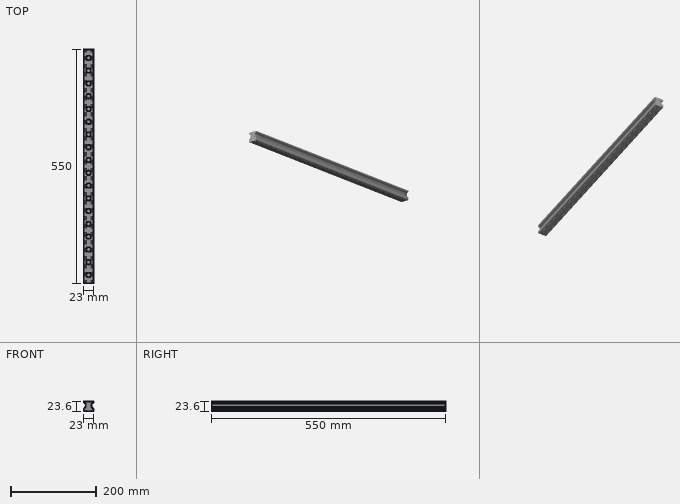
import cadquery as cq

rail_width = 23.0
rail_length = 550.0
rail_height = 23.6
half_width = rail_width / 2

waist_half_width = 6.95
waist_top = 17.5
step_half_width = 9.45
raceway_drop = half_width - step_half_width
base_side_top = 5.65
lower_step_top = 8.6
shoulder_top = lower_step_top + (step_half_width - waist_half_width)
head_side_bottom = 21.3
head_chamfer = 0.3

base_chamfer = 1.5
groove_inner = 5.5
groove_outer = 6.3
groove_depth = 0.7

seat_count = 18
seat_pitch = 30.0
seat_diameter = 11.0
seat_depth = 0.2


def make_rail():
    """Extrude the waisted cross-section along Y, centred on the origin."""
    right_side = [
        (half_width - base_chamfer, 0),
        (half_width, base_chamfer),
        (half_width, base_side_top),
        (step_half_width, base_side_top + raceway_drop),
        (step_half_width, lower_step_top),
        (waist_half_width, shoulder_top),
        (waist_half_width, waist_top),
        (step_half_width, head_side_bottom - raceway_drop),
        (half_width, head_side_bottom),
        (half_width, rail_height - head_chamfer),
        (half_width - head_chamfer, rail_height),
    ]
    left_side = [(-x, z) for x, z in reversed(right_side)]
    return (
        cq.Workplane("XZ")
        .polyline(right_side + left_side)
        .close()
        .extrude(rail_length / 2, both=True)
    )


def cut_grooves(rail):
    """Cut the two full-length grooves in the underside."""
    groove_width = groove_outer - groove_inner
    groove_offset = (groove_outer + groove_inner) / 2
    grooves = (
        cq.Workplane("XY")
        .pushPoints([(-groove_offset, 0), (groove_offset, 0)])
        .rect(groove_width, rail_length)
        .extrude(groove_depth)
    )
    return rail.cut(grooves)


def cut_seats(rail):
    """Sink the evenly spaced round seats into the top face."""
    seats = (
        cq.Workplane("XY", origin=(0, 0, rail_height - seat_depth))
        .rarray(1, seat_pitch, 1, seat_count)
        .circle(seat_diameter / 2)
        .extrude(seat_depth)
    )
    return rail.cut(seats)


result = cut_seats(cut_grooves(make_rail()))